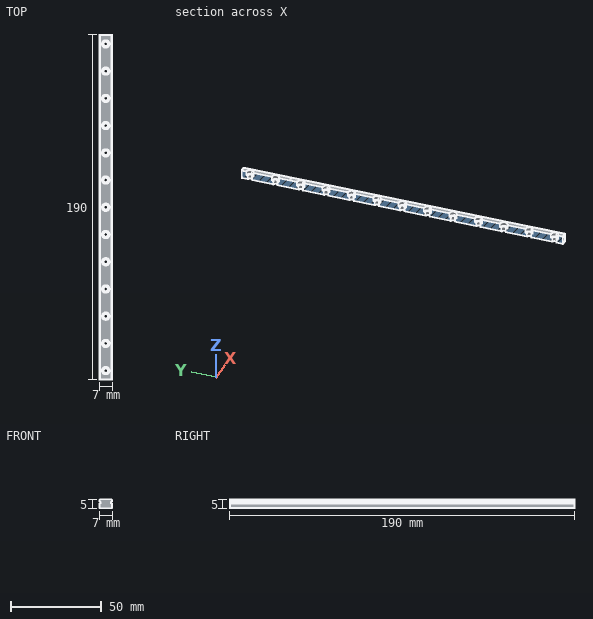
import cadquery as cq

RAIL_WIDTH = 7.0
RAIL_LENGTH = 190.0
RAIL_HEIGHT = 5.0
TOP_CHAMFER = 0.42
BOTTOM_CHAMFER = 0.31

TRACK_HEIGHT = 3.13
TRACK_RADIUS = 0.68
TRACK_AXIS_OFFSET = 0.14
RELIEF_WIDTH = 0.52
RELIEF_DEPTH = 0.7

HOLE_PITCH = 15.0
HOLE_COUNT = 13
HOLE_DIAMETER = 2.4
COUNTERBORE_DIAMETER = 4.2
COUNTERBORE_DEPTH = 2.3


def rail_blank():
    """Rectangular bar along Y, centred in X and Y, with its long edges chamfered."""
    bar = cq.Workplane("XY").box(RAIL_WIDTH, RAIL_LENGTH, RAIL_HEIGHT, centered=(True, True, False))
    bar = bar.faces(">Z").edges("|Y").chamfer(TOP_CHAMFER)
    return bar.faces("<Z").edges("|Y").chamfer(BOTTOM_CHAMFER)


def ball_track(side):
    """Cutter for the track on the side at -X (side = -1) or +X (side = 1)."""
    side_x = side * RAIL_WIDTH / 2
    axis_x = side_x + side * TRACK_AXIS_OFFSET
    groove = cq.Workplane("XZ").center(axis_x, TRACK_HEIGHT).circle(TRACK_RADIUS)
    relief = cq.Workplane("XZ").center(side_x, TRACK_HEIGHT).rect(2 * RELIEF_DEPTH, RELIEF_WIDTH)
    groove_bar = groove.extrude(RAIL_LENGTH / 2, both=True)
    relief_bar = relief.extrude(RAIL_LENGTH / 2, both=True)
    return groove_bar.union(relief_bar)


def drill_mounting_holes(rail):
    """Cut the row of evenly pitched counterbored through holes from the top face."""
    top = rail.faces(">Z").workplane(origin=(0, 0, RAIL_HEIGHT))
    holes = top.rarray(1, HOLE_PITCH, 1, HOLE_COUNT)
    return holes.cboreHole(HOLE_DIAMETER, COUNTERBORE_DIAMETER, COUNTERBORE_DEPTH)


rail = rail_blank()
for side in (-1, 1):
    rail = rail.cut(ball_track(side))

result = drill_mounting_holes(rail)